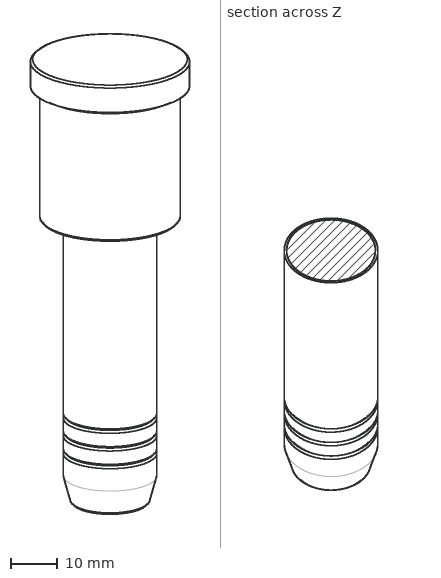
import cadquery as cq
import math

total_length = 100.0
head_radius = 17.0
head_height = 6.0
edge_chamfer = 0.5

sleeve_radius = 15.0
sleeve_end_z = 64.0

groove_width = 1.0
groove_depth = 0.5

shaft_radius = 10.0
taper_height = 6.0
taper_angle = 15.0
neck_radius = 9.5
neck_height = 1.0
groove_count = 3
groove_pitch = 4.0
lowest_groove_top_z = 12.0

head_base_z = total_length - head_height
shaft_top_z = sleeve_end_z - neck_height
tip_radius = shaft_radius - (taper_height - edge_chamfer) * math.tan(math.radians(taper_angle))


def cylinder(radius, bottom_z, top_z):
    """Solid cylinder on the Z axis between two heights."""
    return cq.Workplane("XY").workplane(offset=bottom_z).circle(radius).extrude(top_z - bottom_z)


def v_groove(radius, top_z):
    """Ring that cuts a V-shaped groove into a cylinder, starting at its upper rim."""
    profile = (
        cq.Workplane("XZ")
        .moveTo(radius, top_z)
        .lineTo(radius - groove_depth, top_z - groove_width / 2)
        .lineTo(radius, top_z - groove_width)
        .close()
    )
    return profile.revolve(360, (0, 0, 0), (0, 1, 0))


head = cylinder(head_radius, head_base_z, total_length).faces(">Z").chamfer(edge_chamfer)

sleeve = cylinder(sleeve_radius, sleeve_end_z, head_base_z).faces("<Z").chamfer(edge_chamfer)
sleeve = sleeve.cut(v_groove(sleeve_radius, head_base_z))

shaft = cylinder(shaft_radius, taper_height, shaft_top_z)
neck = cylinder(neck_radius, shaft_top_z, sleeve_end_z)
for index in range(groove_count):
    shaft = shaft.cut(v_groove(shaft_radius, lowest_groove_top_z + index * groove_pitch))

tip = (
    cq.Workplane("XZ")
    .lineTo(tip_radius - edge_chamfer, 0)
    .lineTo(tip_radius, edge_chamfer)
    .lineTo(shaft_radius, taper_height)
    .lineTo(0, taper_height)
    .close()
    .revolve(360, (0, 0, 0), (0, 1, 0))
)

result = head.union(sleeve).union(neck).union(shaft).union(tip)